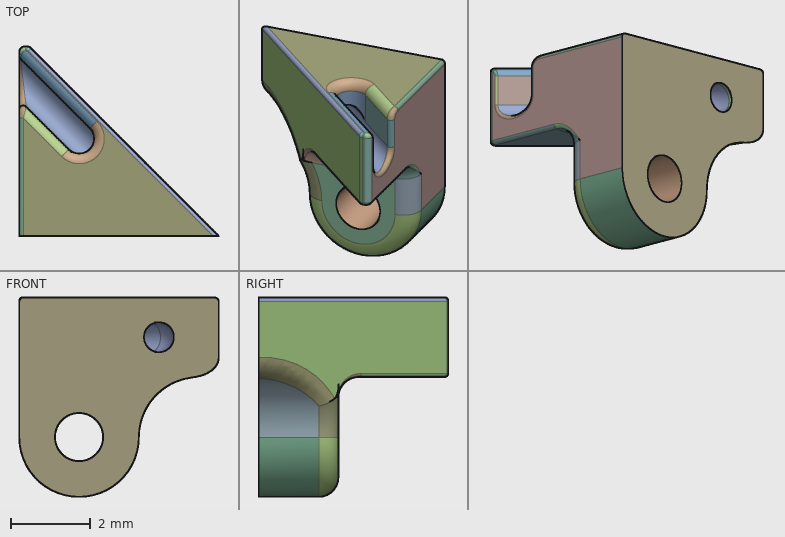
import cadquery as cq
import math

plate_leg = 5.0
plate_thickness = 2.0
plate_depth = 4.75
tip_radius = 0.15
edge_radius = 0.1

lug_radius = 1.5
lug_depth = 2.0
lug_edge_radius = 0.5
web_radius = 1.5
pivot_hole_diameter = 1.2

wire_diameter = 0.75
wire_hole_x = 2.0
wire_bend_radius = 0.8
wire_slope_distance = 0.75
slot_end_x = 0.0
slot_rim_radius = 0.25

left_x = -lug_radius
right_x = left_x + plate_leg
plate_bottom_z = lug_radius
plate_top_z = plate_bottom_z + plate_thickness
slope_angle = 45.0
slope_sum = right_x
wire_radius = wire_diameter / 2
wire_z = plate_bottom_z + plate_thickness / 2
wire_sum = slope_sum - wire_slope_distance * math.sqrt(2)
slot_end_y = wire_sum - slot_end_x
tol = 0.01


def box_between(x_range, y_range, z_range):
    """Axis-aligned box given by its lower and upper limits."""
    sizes = [high - low for low, high in (x_range, y_range, z_range)]
    corner = (x_range[0], y_range[0], z_range[0])
    return cq.Workplane("XY").box(*sizes, centered=False).translate(corner)


def edges_where(solid, condition):
    """Edges of the solid whose midpoint meets the condition."""
    chosen = [edge for edge in solid.edges().vals() if condition(edge.positionAt(0.5))]
    return solid.newObject(chosen)


def on_slope(point):
    """True for a point on the sloped side."""
    return abs(point.x + point.y - slope_sum) < tol


def make_plate():
    """Triangular plate with its rear tip cut off and rounded."""
    tip_width = plate_leg - plate_depth
    plate = (
        cq.Workplane("XY", origin=(0, 0, plate_bottom_z))
        .moveTo(left_x, 0)
        .lineTo(right_x, 0)
        .lineTo(left_x + tip_width, plate_depth)
        .lineTo(left_x, plate_depth)
        .close()
        .extrude(plate_thickness)
    )
    return plate.edges("|Z").edges(">Y").fillet(tip_radius)


def front_outline(depth, round_bottom):
    """Lug, concave web and plate end as one front outline, extruded rearwards."""
    web_x = lug_radius + web_radius
    diagonal = web_radius * math.sqrt(0.5)
    outline = cq.Workplane("XZ").moveTo(left_x, 0)
    if round_bottom:
        outline = outline.threePointArc((0, -lug_radius), (lug_radius, 0))
    else:
        outline = outline.lineTo(left_x, -lug_radius).lineTo(lug_radius, -lug_radius)
        outline = outline.lineTo(lug_radius, 0)
    return (
        outline.threePointArc((web_x - diagonal, diagonal), (web_x, plate_bottom_z))
        .lineTo(right_x, plate_bottom_z)
        .lineTo(right_x, plate_top_z)
        .lineTo(left_x, plate_top_z)
        .close()
        .extrude(-depth)
    )


def make_lug():
    """Lug and web with a rounded rear rim, not yet cut by the sloped side."""
    lug = front_outline(lug_depth, round_bottom=True)
    return lug.faces(">Y").edges("<Z").fillet(lug_edge_radius)


def make_sloped_envelope():
    """Front outline cut by the sloped side, with the cut's lower edge rounded."""
    wedge = (
        cq.Workplane("XY", origin=(0, 0, -lug_radius))
        .polyline([(left_x, 0), (right_x, 0), (left_x, plate_leg)])
        .close()
        .extrude(lug_radius + plate_top_z)
    )
    body = front_outline(plate_leg, round_bottom=False).intersect(wedge)
    rim = edges_where(
        body,
        lambda p: on_slope(p) and p.x > lug_radius - tol and p.z < plate_bottom_z + tol,
    )
    return rim.fillet(lug_edge_radius)


def make_root():
    """Concave fillet between the rounded rear of the lug and the plate underside."""
    root_z = plate_bottom_z - lug_edge_radius
    slab = box_between((left_x - plate_leg, right_x), (0, plate_leg), (plate_bottom_z, plate_top_z))
    post = box_between((left_x, right_x), (0, lug_depth), (-lug_radius, plate_bottom_z))
    post = post.edges("|Z and <X and >Y").fillet(lug_edge_radius)
    joint = edges_where(
        slab.union(post),
        lambda p: abs(p.z - plate_bottom_z) < tol
        and (abs(p.y - lug_depth) < tol or left_x - tol < p.x < left_x + lug_edge_radius),
    )
    limits = box_between((left_x, lug_radius), (0, plate_leg), (root_z, plate_bottom_z))
    return joint.fillet(lug_edge_radius).intersect(limits)


def make_body():
    """Plate and lug joined along the rounded sloped side."""
    envelope = make_sloped_envelope()
    plate = make_plate()
    behind_lug = plate.intersect(
        box_between((left_x, lug_radius), (0, plate_depth), (plate_bottom_z, plate_top_z))
    )
    lug = make_lug().union(make_root()).intersect(envelope)
    return plate.intersect(envelope).union(lug).union(behind_lug).clean()


def round_lower_edges(body):
    """Small fillet along the plate's lower edges behind the lug root."""
    root_end_y = lug_depth + lug_edge_radius
    lower = edges_where(
        body,
        lambda p: abs(p.z - plate_bottom_z) < tol
        and p.y > root_end_y + tol
        and (p.x < left_x + tip_radius or on_slope(p)),
    )
    return lower.fillet(edge_radius)


def cut_pivot_hole(body):
    """Round hole straight through the lug."""
    hole = cq.Workplane("XZ").circle(pivot_hole_diameter / 2).extrude(-plate_leg)
    return body.cut(hole)


def make_wire_tube():
    """Round tube that runs straight back, then bends along the slope to the left side."""
    bend_angle = math.radians(slope_angle)
    tangent_length = wire_bend_radius * math.tan(bend_angle / 2)
    corner_y = wire_sum - wire_hole_x
    bend_start_y = corner_y - tangent_length
    bend_centre_x = wire_hole_x - wire_bend_radius
    bend_mid = (
        bend_centre_x + wire_bend_radius * math.cos(bend_angle / 2),
        bend_start_y + wire_bend_radius * math.sin(bend_angle / 2),
    )
    bend_end_x = bend_centre_x + wire_bend_radius * math.cos(bend_angle)
    exit_x = left_x - wire_diameter
    path = (
        cq.Workplane("XY", origin=(0, 0, wire_z))
        .moveTo(wire_hole_x, 0)
        .lineTo(wire_hole_x, bend_start_y)
        .threePointArc(bend_mid, (bend_end_x, wire_sum - bend_end_x))
        .lineTo(exit_x, wire_sum - exit_x)
    )
    return cq.Workplane("XZ", origin=(wire_hole_x, 0, wire_z)).circle(wire_radius).sweep(path)


def make_slot():
    """Round-ended slot that opens the sloping stretch of the tube to the top face."""
    slot_length = plate_leg
    slot = (
        cq.Workplane("XY")
        .rect(slot_length, wire_diameter)
        .extrude(plate_top_z - wire_z)
        .translate((-slot_length / 2, 0, 0))
        .union(cq.Workplane("XY").circle(wire_radius).extrude(plate_top_z - wire_z))
    )
    return slot.rotate((0, 0, 0), (0, 0, 1), -slope_angle).translate((slot_end_x, slot_end_y, wire_z))


def distance_from_slot_line(point):
    """Distance from the slot's centre line, seen from above."""
    return abs(point.x + point.y - wire_sum) / math.sqrt(2)


def round_slot_rim(body):
    """Generous rounding where the slot meets the top face."""
    rim = edges_where(
        body,
        lambda p: abs(p.z - plate_top_z) < tol
        and left_x + tol < p.x < slot_end_x + wire_diameter
        and distance_from_slot_line(p) < wire_radius + tol
        and p.y > tol,
    )
    return rim.fillet(slot_rim_radius)


def round_upper_edges(body):
    """Small fillet along the top edges and around the slot's mouth in the left side."""
    def is_mouth(p):
        in_plate = p.z > plate_bottom_z + tol
        return in_plate and abs(p.x - left_x) < tol and distance_from_slot_line(p) < wire_diameter

    def is_top(p):
        return abs(p.z - plate_top_z) < tol and p.y > tol and (
            on_slope(p) or p.x < left_x + tol or p.y > plate_depth - tip_radius
        )

    return edges_where(body, lambda p: is_top(p) or is_mouth(p)).fillet(edge_radius)


body = round_lower_edges(make_body())
body = cut_pivot_hole(body)
body = body.cut(make_wire_tube().union(make_slot()))
body = round_slot_rim(body)
result = round_upper_edges(body)